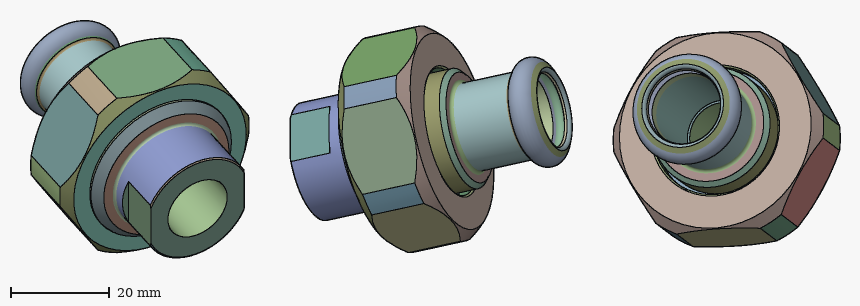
import cadquery as cq
import math

total_length = 54.0

nut_front_x = 22.9
nut_back_x = 39.0
nut_across_flats = 41.0
nut_corner_diameter = 44.65
nut_face_diameter = 40.65
nut_chamfer_length = 2.2
nut_mouth_diameter = 26.5
nut_mouth_chamfer = 0.4
nut_lip_length = 2.95
cavity_diameter = 30.3
cavity_x = nut_front_x + nut_lip_length

tube_radius = 18.3 / 2
bore_radius = 15.3 / 2
narrow_bore_radius = 14.95 / 2
bore_taper_end_x = 6.35
bead_x = 3.25
bead_radius = 11.4
bead_arc_radius = 2.85
bead_arc_half_width = 2.55
bead_root_x = 6.5
bead_root_fillet = 0.5
mouth_radius = 15.7 / 2
mouth_depth = 0.8
mouth_lip_radius = mouth_radius + mouth_depth
groove_start_x = 1.3
groove_crest_x = 2.2
groove_crest_radius = 8.85
groove_end_x = 3.45
groove_end_radius = 8.35
groove_ramp_end_x = 3.85
collar_x = 18.95
collar_radius = 25.0 / 2
collar_chamfer = 1.0
collar_fillet = 0.7
shoulder_thickness = 2.15
joint_x = cavity_x + shoulder_thickness

end_bore_radius = 14.0 / 2
rim_radius = 33.1 / 2
rim_length = 0.5
cone_end_x = 41.5
cone_end_radius = 29.5 / 2
neck_radius = 24.5 / 2
neck_cone_end_x = 41.9
neck_cone_end_radius = 12.8
neck_fillet = 0.55
neck_x = 42.4
end_chamfer_length = 0.2
end_chamfer_height = 0.3
flat_offset = 11.0
flat_start_x = 45.15
flat_runout = 0.4


def revolve_about_x(outline):
    """Revolve a closed (x, radius) outline about the X axis."""
    return outline.close().revolve(360, (0, 0, 0), (1, 0, 0))


def make_spigot():
    bead_foot = bead_radius - bead_arc_radius + math.sqrt(bead_arc_radius**2 - bead_arc_half_width**2)
    outline = (
        cq.Workplane("XY")
        .moveTo(0, mouth_lip_radius)
        .lineTo(bead_x - bead_arc_half_width, bead_foot)
        .threePointArc((bead_x, bead_radius), (bead_x + bead_arc_half_width, bead_foot))
        .lineTo(bead_root_x - bead_root_fillet, tube_radius + bead_root_fillet)
        .radiusArc((bead_root_x, tube_radius), -bead_root_fillet)
        .lineTo(collar_x - collar_fillet, tube_radius)
        .radiusArc((collar_x, tube_radius + collar_fillet), -collar_fillet)
        .lineTo(collar_x, collar_radius - collar_chamfer)
        .lineTo(collar_x + collar_chamfer, collar_radius)
        .lineTo(cavity_x, collar_radius)
        .lineTo(cavity_x, cavity_diameter / 2)
        .lineTo(joint_x, cavity_diameter / 2)
        .lineTo(joint_x, narrow_bore_radius)
        .lineTo(bore_taper_end_x, narrow_bore_radius)
        .lineTo(groove_ramp_end_x, bore_radius)
        .lineTo(groove_end_x, groove_end_radius)
        .threePointArc((groove_crest_x, groove_crest_radius), (groove_start_x, bore_radius))
        .lineTo(mouth_depth, mouth_radius)
        .radiusArc((0, mouth_lip_radius), mouth_depth)
    )
    return revolve_about_x(outline)


def make_nut():
    length = nut_back_x - nut_front_x
    corner_diameter = nut_across_flats / math.cos(math.pi / 6)
    hexagon = cq.Workplane("YZ", origin=(nut_front_x, 0, 0)).polygon(6, corner_diameter).extrude(length)
    face_radius = nut_face_diameter / 2
    corner_radius = nut_corner_diameter / 2
    envelope = revolve_about_x(
        cq.Workplane("XY")
        .moveTo(nut_front_x, 0)
        .lineTo(nut_front_x, face_radius)
        .lineTo(nut_front_x + nut_chamfer_length, corner_radius)
        .lineTo(nut_back_x - nut_chamfer_length, corner_radius)
        .lineTo(nut_back_x, face_radius)
        .lineTo(nut_back_x, 0)
    )
    lip_radius = nut_mouth_diameter / 2
    hole = revolve_about_x(
        cq.Workplane("XY")
        .moveTo(nut_front_x, 0)
        .lineTo(nut_front_x, lip_radius + nut_mouth_chamfer)
        .lineTo(nut_front_x + nut_mouth_chamfer, lip_radius)
        .lineTo(cavity_x, lip_radius)
        .lineTo(cavity_x, cavity_diameter / 2)
        .lineTo(nut_back_x, cavity_diameter / 2)
        .lineTo(nut_back_x, 0)
    )
    return hexagon.intersect(envelope).cut(hole)


def make_flat_cutter():
    """Block that mills the +Y flat, with a slanted wall at its inner end."""
    cutter_top = 2 * neck_radius - flat_offset
    return (
        cq.Workplane("XY")
        .moveTo(flat_start_x, flat_offset)
        .lineTo(total_length, flat_offset)
        .lineTo(total_length, cutter_top)
        .lineTo(flat_start_x - 2 * flat_runout, cutter_top)
        .close()
        .extrude(neck_radius, both=True)
    )


def make_end_piece():
    outline = (
        cq.Workplane("XY")
        .moveTo(joint_x, end_bore_radius)
        .lineTo(joint_x, cavity_diameter / 2)
        .lineTo(nut_back_x, cavity_diameter / 2)
        .lineTo(nut_back_x, rim_radius)
        .lineTo(nut_back_x + rim_length, rim_radius)
        .lineTo(cone_end_x, cone_end_radius)
        .lineTo(neck_cone_end_x, neck_cone_end_radius)
        .radiusArc((neck_x, neck_radius), -neck_fillet)
        .lineTo(total_length - end_chamfer_length, neck_radius)
        .lineTo(total_length, neck_radius - end_chamfer_height)
        .lineTo(total_length, end_bore_radius)
    )
    flat_cutter = make_flat_cutter()
    return revolve_about_x(outline).cut(flat_cutter).cut(flat_cutter.mirror("XZ"))


spigot = make_spigot()
nut = make_nut()
end_piece = make_end_piece()
result = cq.Compound.makeCompound([spigot.val(), nut.val(), end_piece.val()])